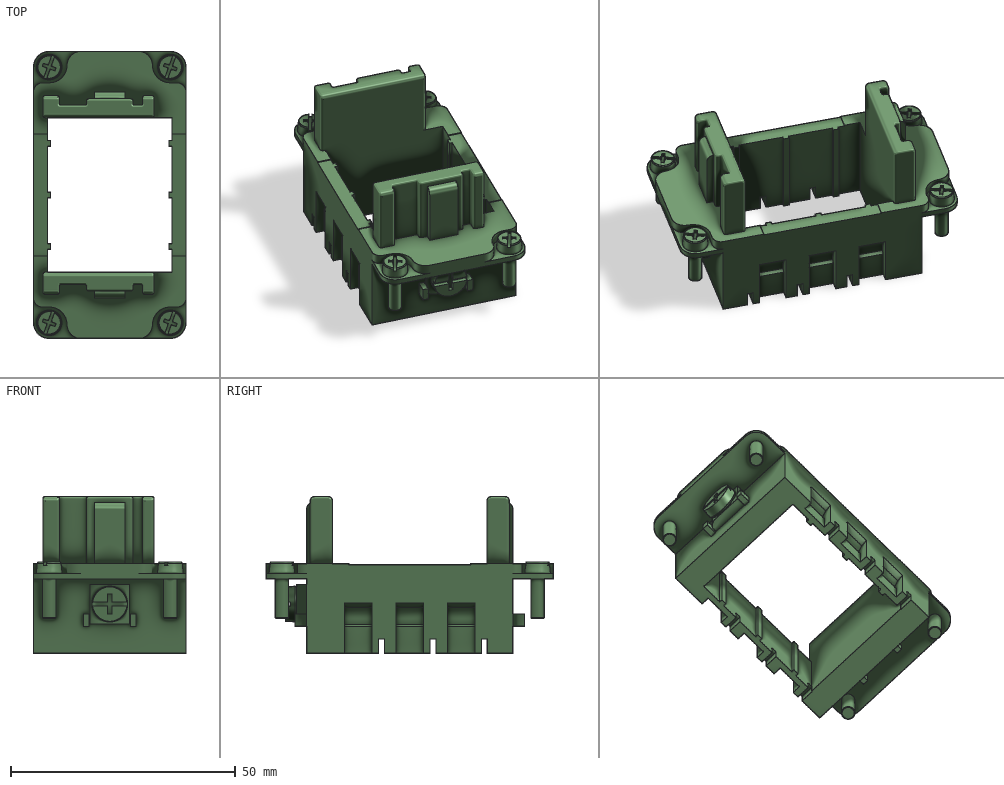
import cadquery as cq
import math

frame_width = 34.01
frame_length = 64.0
body_length = 46.0
corner_radius = 3.5
flange_bottom = 16.6
flange_top = 17.8
deck_top = 20.0
deck_shoulder_radius = 2.0
deck_pocket_radius = 4.0
deck_neck_radius = 3.0
cavity_width = 27.7
cavity_length = 34.4
rail_recess_length = 27.2
rail_recess_depth = 0.2

module_pitch = 11.5
module_offsets = (-module_pitch, 0.0, module_pitch)
nub_width = 1.3
nub_depth = 0.65
slot_width = 1.3
slot_height = 3.2
slot_shift = 5.2
window_width = 6.1
window_top = 11.2
window_arc_top = 10.2
window_arc_middle = 8.6
window_ledge_top = 6.4
window_ledge_bottom = 6.0
window_arc_top_depth = 1.4
window_arc_middle_depth = 2.25
window_arc_depth = 2.7
window_depth = 1.9

part_height = 35.0
tower_left = -14.9
tower_right = 9.9
tower_thickness = 5.0
groove_floor = 2.8
middle_face = 4.25
wide_groove = (-11.2, -5.2)
narrow_groove = (5.2, 7.3)
tower_edge_radius = 0.6
tower_groove_radius = 0.3
tower_top_radius = 1.0
tower_rim_radius = 0.5
key_width = 6.7
key_top = 33.7
key_face = body_length / 2 - cavity_length / 2
key_radius = 1.55

screw_x = frame_width / 2 - corner_radius
screw_y = frame_length / 2 - corner_radius
shank_diameter = 3.0
shank_tip_diameter = 2.7
shank_bottom = 7.8
head_diameter = 5.7
head_crown_diameter = 5.3
head_top_diameter = 5.0
head_collar_top = 18.1
head_crown = 20.1
head_top = 20.4
head_slot_width = 0.7
head_slot_depth = 0.8
head_cross_length = 3.0
head_slot_angle = 70.0
recess_center_diameter = 1.4
recess_center_taper = 15.0

terminal_z = 11.0
clamp_size = 8.8
clamp_face = 2.2
clamp_end_face = 1.2
clamp_bend_width = 1.8
terminal_head_diameter = 8.0
terminal_face_diameter = 7.7
terminal_taper_start = 2.6
terminal_head_face = 4.7
terminal_slot_width = 0.9
terminal_slot_depth = 1.0
terminal_cross_length = 4.5

tab_inner = 4.6
tab_outer = 5.9
tab_bottom = 6.0
tab_top = 8.8
tab_length = 2.6


def box(x_range, y_range, z_range):
    """Axis-aligned block between the given limits."""
    sizes = [high - low for low, high in (x_range, y_range, z_range)]
    corner = (x_range[0], y_range[0], z_range[0])
    return cq.Workplane("XY").box(*sizes, centered=False).translate(corner)


def arc_middle(center, radius, angle):
    """Point on a circle at an angle in degrees."""
    turn = math.radians(angle)
    return (center[0] + radius * math.cos(turn), center[1] + radius * math.sin(turn))


def make_deck_corner():
    """Everything outside the S-shaped deck outline at the +X +Y corner."""
    side = frame_width / 2
    end = frame_length / 2
    shoulder_y = body_length / 2
    shelf_y = shoulder_y + deck_shoulder_radius
    pocket_y = shelf_y + deck_pocket_radius
    pocket_x = screw_x - deck_pocket_radius
    neck_x = pocket_x - deck_neck_radius
    shoulder_center = (side - deck_shoulder_radius, shoulder_y)
    pocket_center = (screw_x, pocket_y)
    neck_center = (neck_x, end - deck_neck_radius)
    return (
        cq.Workplane("XY")
        .workplane(offset=flange_top)
        .moveTo(side, shoulder_y)
        .threePointArc(
            arc_middle(shoulder_center, deck_shoulder_radius, 45),
            (side - deck_shoulder_radius, shelf_y),
        )
        .lineTo(screw_x, shelf_y)
        .threePointArc(arc_middle(pocket_center, deck_pocket_radius, 225), (pocket_x, pocket_y))
        .threePointArc(arc_middle(neck_center, deck_neck_radius, 45), (neck_x, end))
        .lineTo(side, end)
        .close()
        .extrude(deck_top - flange_top)
    )


def make_frame():
    """Open rectangular body with the flange, stepped deck and central cavity."""
    body = cq.Workplane("XY").rect(frame_width, body_length).extrude(flange_bottom)
    plate = (
        cq.Workplane("XY")
        .workplane(offset=flange_bottom)
        .rect(frame_width, frame_length)
        .extrude(deck_top - flange_bottom)
        .edges("|Z")
        .fillet(corner_radius)
    )
    corner = make_deck_corner()
    corners = corner.union(corner.mirror("YZ"))
    corners = corners.union(corners.mirror("XZ"))
    cavity = cq.Workplane("XY").rect(cavity_width, cavity_length).extrude(deck_top)
    rail_recess = (
        cq.Workplane("XY")
        .workplane(offset=deck_top - rail_recess_depth)
        .rect(frame_width, rail_recess_length)
        .extrude(rail_recess_depth)
    )
    return body.union(plate).cut(corners).cut(cavity).cut(rail_recess)


def make_window():
    """Recess in the -X wall: sloping roof, hollow arc, ledge and plain lower part."""
    outside = -frame_width / 2
    return (
        cq.Workplane("XZ")
        .moveTo(outside, 0)
        .lineTo(outside, window_top)
        .lineTo(outside + window_arc_top_depth, window_arc_top)
        .threePointArc(
            (outside + window_arc_middle_depth, window_arc_middle),
            (outside + window_arc_depth, window_ledge_top),
        )
        .lineTo(outside + window_depth, window_ledge_bottom)
        .lineTo(outside + window_depth, 0)
        .close()
        .extrude(window_width / 2, both=True)
    )


def add_wall_details(frame):
    """Nubs, windows and bottom slots of both long walls."""
    window = make_window()
    windows = window.union(window.mirror("YZ"))
    inside = cavity_width / 2
    for offset in module_offsets:
        nub_range = (offset - nub_width / 2, offset + nub_width / 2)
        nub_height = (0, deck_top - rail_recess_depth)
        for side in (-1, 1):
            nub_x = sorted((side * inside, side * (inside - nub_depth)))
            frame = frame.union(box(nub_x, nub_range, nub_height))
        slot_y = offset + slot_shift
        slot_range = (slot_y - slot_width / 2, slot_y + slot_width / 2)
        slot = box((inside, frame_width / 2), slot_range, (0, slot_height))
        slots = slot.union(slot.mirror("YZ"))
        frame = frame.cut(windows.translate((0, offset, 0))).cut(slots)
    return frame


def make_tower():
    """Grooved tower on the +Y end, with rounded edges."""
    base = cavity_length / 2
    outer = base + tower_thickness
    floor = base + groove_floor
    middle = base + middle_face
    height = part_height - deck_top
    outline = [
        (tower_left, base),
        (tower_left, outer),
        (wide_groove[0], outer),
        (wide_groove[0], floor),
        (wide_groove[1], floor),
        (wide_groove[1], middle),
        (narrow_groove[0], middle),
        (narrow_groove[0], floor),
        (narrow_groove[1], floor),
        (narrow_groove[1], outer),
        (tower_right, outer),
        (tower_right, base),
    ]
    inner_corners = [(x, y) for x, y in outline if y == floor]
    tower = cq.Workplane("XY").workplane(offset=deck_top).polyline(outline).close().extrude(height)
    for x, y in outline:
        radius = tower_groove_radius if (x, y) in inner_corners else tower_edge_radius
        tower = tower.edges(cq.NearestToPointSelector((x, y, deck_top + height / 2))).fillet(radius)

    rounded_side = (
        box((tower_left, tower_right), (base, outer), (deck_top, part_height))
        .edges("|X and >Z")
        .fillet(tower_top_radius)
    )
    return tower.intersect(rounded_side).faces(">Z").edges().fillet(tower_rim_radius)


def make_key():
    """Raised key on the middle face of the +Y tower, with a rounded top edge."""
    base = cavity_length / 2
    key = box((-key_width / 2, key_width / 2), (base + groove_floor, base + key_face), (deck_top, key_top))
    return key.edges("|X and >Y and >Z").fillet(key_radius)


def make_cross_recess(length, cross_length, width, depth):
    """Crossed slots with a conical centre, reaching down from Z = 0."""
    slots = cq.Workplane("XY").rect(length, width).extrude(-depth)
    cross_slot = cq.Workplane("XY").rect(width, cross_length).extrude(-depth)
    center_radius = recess_center_diameter / 2
    center = cq.Workplane("XY").circle(center_radius).extrude(-depth, taper=recess_center_taper)
    return slots.union(cross_slot).union(center)


def make_screw():
    """Captive screw on the Z axis, with a slotted and crossed head."""
    tip_chamfer = (shank_diameter - shank_tip_diameter) / 2
    screw = (
        cq.Workplane("XZ")
        .moveTo(0, shank_bottom)
        .lineTo(shank_tip_diameter / 2, shank_bottom)
        .lineTo(shank_diameter / 2, shank_bottom + tip_chamfer)
        .lineTo(shank_diameter / 2, flange_top)
        .lineTo(head_diameter / 2, flange_top)
        .lineTo(head_diameter / 2, head_collar_top)
        .lineTo(head_crown_diameter / 2, head_crown)
        .lineTo(head_top_diameter / 2, head_top)
        .lineTo(0, head_top)
        .close()
        .revolve(360, (0, 0, 0), (0, 1, 0))
    )
    recess = make_cross_recess(head_diameter, head_cross_length, head_slot_width, head_slot_depth)
    recess = recess.rotate((0, 0, 0), (0, 0, 1), head_slot_angle).translate((0, 0, head_top))
    return screw.cut(recess)


def make_clamp():
    """Square clamp plate on the -Y face, bent back toward the body at its -X edge."""
    face = -body_length / 2
    half = clamp_size / 2
    bend_x = -half + clamp_bend_width
    bend = clamp_face - clamp_end_face
    return (
        cq.Workplane("XY")
        .workplane(offset=terminal_z - half)
        .moveTo(half, face)
        .lineTo(half, face - clamp_face)
        .lineTo(bend_x, face - clamp_face)
        .threePointArc(
            (bend_x - clamp_bend_width / 2, face - clamp_face + bend / 4),
            (-half, face - clamp_end_face),
        )
        .lineTo(-half, face)
        .close()
        .extrude(clamp_size)
    )


def make_terminal_screw():
    """Large earth-screw head with a full slot and a short cross slot."""
    head = (
        cq.Workplane("XZ")
        .moveTo(0, clamp_face)
        .lineTo(terminal_face_diameter / 2, clamp_face)
        .lineTo(terminal_head_diameter / 2, terminal_taper_start)
        .lineTo(terminal_face_diameter / 2, terminal_head_face)
        .lineTo(0, terminal_head_face)
        .close()
        .revolve(360, (0, 0, 0), (0, 1, 0))
    )
    recess = make_cross_recess(
        terminal_head_diameter, terminal_cross_length, terminal_slot_width, terminal_slot_depth
    )
    head = head.cut(recess.translate((0, 0, terminal_head_face)))
    head = head.rotate((0, 0, 0), (1, 0, 0), 90)
    return head.translate((0, -body_length / 2, terminal_z))


def make_tabs():
    """Pair of locating tabs on the +Y end face."""
    end = body_length / 2
    tab = box((tab_inner, tab_outer), (end, end + tab_length), (tab_bottom, tab_top))
    return tab.union(tab.mirror("YZ"))


result = add_wall_details(make_frame())

end_features = make_tower().union(make_key()).union(make_tabs())
result = result.union(end_features).union(end_features.mirror("XZ"))

corner_screw = make_screw()
for x in (-screw_x, screw_x):
    for y in (-screw_y, screw_y):
        result = result.union(corner_screw.translate((x, y, 0)))

result = result.union(make_clamp()).union(make_terminal_screw())